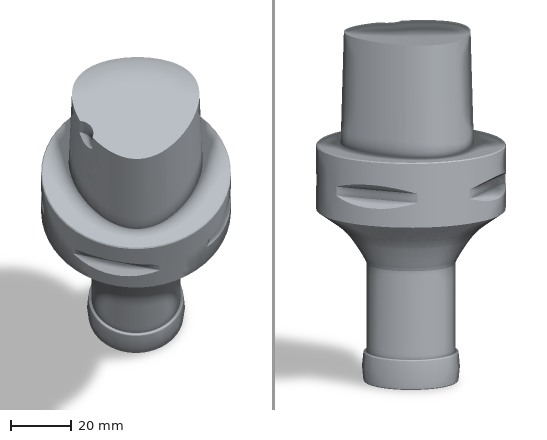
import cadquery as cq
import math

total_height = 118.0
flange_top = 80.2
flange_bottom = 58.3
cone_bottom = 53.6
upper_arc_bottom = 49.1
lower_arc_bottom = 41.2
neck_top = 40.1
head_joint = 12.0
crown_top = 10.1

flange_radius = 63.0 / 2
neck_radius = 29.6 / 2
cone_bottom_radius = 24.9
upper_arc_bottom_radius = 20.3
lower_arc_bottom_radius = 15.2
flange_chamfer = 0.4

shank_base_radius = 22.1
shank_taper = 1.1
lobe_height = 1.4
lobe_count = 3
patches = 2 * lobe_count
points_per_patch = 7

keyway_radius = 5.1
keyway_depth = 6.4
keyway_wall_y = -17.5
keyway_point_height = 4.0

groove_count = 4
groove_z = 68.2
groove_floor_distance = 27.8
groove_floor_height = 3.1
groove_mouth_height = 7.9

crown_end_radius = 15.8
crown_belly_radius = 16.3
crown_edge_size = 0.4


def lobe_point(angle, mean_radius, z):
    """Point on the trochoid that has one lobe pointing along +Y."""
    x = -mean_radius * math.sin(angle) + lobe_height * math.sin(2 * angle)
    y = mean_radius * math.cos(angle) + lobe_height * math.cos(2 * angle)
    return cq.Vector(x, y, z)


def lobe_tangent(angle, mean_radius):
    x = -mean_radius * math.cos(angle) + 2 * lobe_height * math.cos(2 * angle)
    y = -mean_radius * math.sin(angle) - 2 * lobe_height * math.sin(2 * angle)
    return cq.Vector(x, y, 0)


def lobe_wire(mean_radius, z):
    """Closed trochoid made of one curve for each lobe and each flank."""
    patch_angle = 2 * math.pi / patches
    edges = []
    for patch in range(patches):
        start = (patch - 0.5) * patch_angle
        angles = [start + patch_angle * i / (points_per_patch - 1) for i in range(points_per_patch)]
        points = [lobe_point(angle, mean_radius, z) for angle in angles]
        tangents = [lobe_tangent(angles[0], mean_radius), lobe_tangent(angles[-1], mean_radius)]
        edges.append(cq.Edge.makeSpline(points, tangents=tangents))
    return cq.Wire.assembleEdges(edges)


def make_shank():
    base = lobe_wire(shank_base_radius, flange_top)
    end = lobe_wire(shank_base_radius - shank_taper, total_height)
    return cq.Workplane(cq.Solid.makeLoft([base, end], True))


def make_keyway_cutter():
    """Round-ended drill shape: a cylinder with a conical point."""
    shoulder = total_height - keyway_depth
    return (
        cq.Workplane("XZ")
        .moveTo(0, total_height)
        .lineTo(keyway_radius, total_height)
        .lineTo(keyway_radius, shoulder)
        .lineTo(0, shoulder - keyway_point_height)
        .close()
        .revolve(360, (0, 0, 0), (0, 1, 0))
        .translate((0, keyway_wall_y - keyway_radius, 0))
    )


def make_groove_cutter(direction):
    """Trapezoidal groove, tangent to the flange, facing the given angle in degrees."""
    half_floor = groove_floor_height / 2
    half_mouth = groove_mouth_height / 2
    return (
        cq.Workplane("XZ")
        .moveTo(groove_floor_distance, groove_z - half_floor)
        .lineTo(flange_radius, groove_z - half_mouth)
        .lineTo(flange_radius, groove_z + half_mouth)
        .lineTo(groove_floor_distance, groove_z + half_floor)
        .close()
        .extrude(flange_radius, both=True)
        .rotate((0, 0, 0), (0, 0, 1), direction)
    )


def make_holder():
    """Flange, flared underside and neck, with the lobed shank on top."""
    holder = (
        cq.Workplane("XZ")
        .moveTo(0, flange_top)
        .lineTo(flange_radius - flange_chamfer, flange_top)
        .lineTo(flange_radius, flange_top - flange_chamfer)
        .lineTo(flange_radius, flange_bottom)
        .lineTo(cone_bottom_radius, cone_bottom)
        .tangentArcPoint((upper_arc_bottom_radius, upper_arc_bottom), relative=False)
        .tangentArcPoint((lower_arc_bottom_radius, lower_arc_bottom), relative=False)
        .lineTo(neck_radius, neck_top)
        .lineTo(neck_radius, head_joint)
        .lineTo(0, head_joint)
        .close()
        .revolve(360, (0, 0, 0), (0, 1, 0))
    )
    holder = holder.union(make_shank()).cut(make_keyway_cutter())
    for i in range(groove_count):
        direction = (i + 0.5) * 360 / groove_count
        holder = holder.cut(make_groove_cutter(direction))
    return holder


def make_cutting_head():
    """Short collar flush with the neck, above the barrelled crown."""
    crown_side_top = crown_top - crown_edge_size
    return (
        cq.Workplane("XZ")
        .lineTo(crown_end_radius - crown_edge_size, 0)
        .lineTo(crown_end_radius, crown_edge_size)
        .threePointArc((crown_belly_radius, crown_top / 2), (crown_end_radius, crown_side_top))
        .tangentArcPoint((crown_end_radius - crown_edge_size, crown_top), relative=False)
        .lineTo(neck_radius, crown_top)
        .lineTo(neck_radius, head_joint)
        .lineTo(0, head_joint)
        .close()
        .revolve(360, (0, 0, 0), (0, 1, 0))
    )


holder = make_holder()
cutting_head = make_cutting_head()
result = cq.Compound.makeCompound([holder.val(), cutting_head.val()])